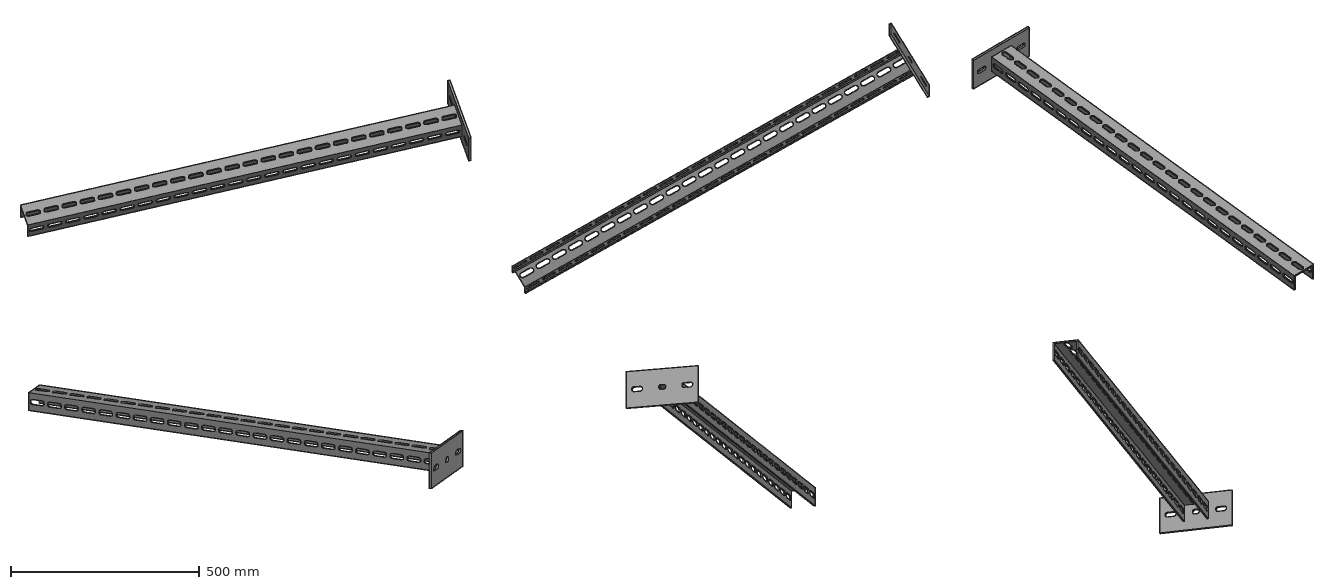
import cadquery as cq

total_length = 1206.0

plate_width = 200.0
plate_height = 100.0
plate_thickness = 6.5

channel_width = 70.0
channel_height = plate_height / 2
channel_length = total_length - plate_thickness
sheet_thickness = 4.0

slot_count = 24
slot_pitch = channel_length / slot_count
slot_gap = 10.0
slot_length = slot_pitch - slot_gap
slot_end_radius = 7.0
slot_width = 2 * slot_end_radius
slot_centres = [-slot_pitch * (i + 0.5) for i in range(slot_count)]

outer_slot_spacing = 140.0
outer_slot_length = 30.0
middle_slot_length = 19.0
plate_slot_width = 13.0


def make_plate():
    """Slotted plate with its front face at Y = 0, centred on X = Z = 0."""
    front_face = cq.Workplane("XZ")
    plate = front_face.rect(plate_width, plate_height).extrude(-plate_thickness)
    outer_slots = (
        front_face.pushPoints([(-outer_slot_spacing / 2, 0), (outer_slot_spacing / 2, 0)])
        .slot2D(outer_slot_length, plate_slot_width)
        .extrude(-plate_thickness)
    )
    middle_slot = front_face.slot2D(middle_slot_length, plate_slot_width).extrude(-plate_thickness)
    return plate.cut(outer_slots).cut(middle_slot)


def make_channel():
    """U-shaped channel butted against the plate, slotted through its web and legs."""
    plate_end = cq.Workplane("XZ")
    outer = plate_end.rect(channel_width, channel_height).extrude(channel_length)
    inside = (
        plate_end.center(0, -sheet_thickness)
        .rect(channel_width - 2 * sheet_thickness, channel_height)
        .extrude(channel_length)
    )

    web_slots = (
        cq.Workplane("XY")
        .pushPoints([(0, y) for y in slot_centres])
        .slot2D(slot_length, slot_width, 90)
        .extrude(channel_height)
    )

    leg_slots = (
        cq.Workplane("YZ")
        .pushPoints([(y, 0) for y in slot_centres])
        .slot2D(slot_length, slot_width)
        .extrude(channel_width, both=True)
    )
    return outer.cut(inside).cut(web_slots).cut(leg_slots)


plate = make_plate()
channel = make_channel()

result = cq.Compound.makeCompound([plate.val(), channel.val()])